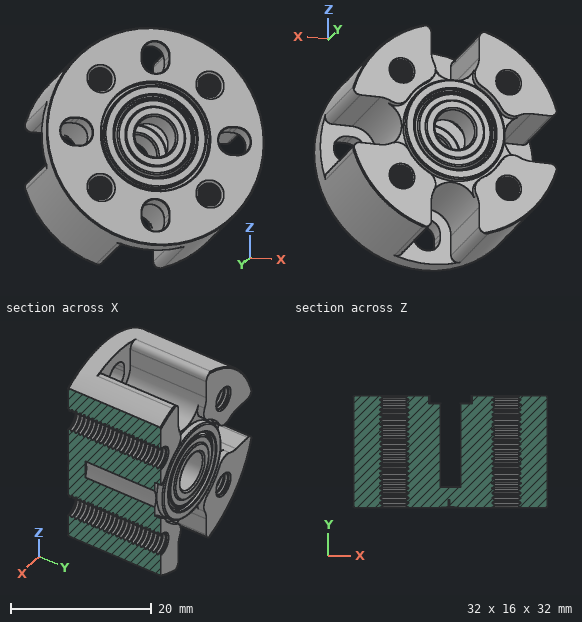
import cadquery as cq
import math


LENGTH = 16.0
HOUSING_RADIUS = 16.0
EDGE_CHAMFER = 0.15
FRONT_HOLE_CHAMFER = 0.1
CHAMFER_ANGLE = 45
WEB_THICKNESS = 3.0
QUARTER_TURN = 90

CHANNEL_HALF_WIDTH = 3.6
CHANNEL_CENTER_RADIUS = 11.3
CHANNEL_LIP_FILLET = 1.0

OBLONG_CENTER_RADIUS = 11.6
OBLONG_WIDTH = 4.0
OBLONG_TRAVEL = 0.7

THREAD_OFFSET = 8.0
THREAD_MAJOR_RADIUS = 2.05
THREAD_MINOR_RADIUS = 1.65
THREAD_PITCH = 0.7
THREAD_CREST_WIDTH = THREAD_PITCH / 4

BEARING_WIDTH = 5.0
BEARING_RADIUS = 6.5
BEARING_FLANGE_RADIUS = 7.5
BEARING_FLANGE_THICKNESS = 1.1
BEARING_FLANGE_CHAMFER = 0.2
SHIELD_SEAT_RADIUS = 6.13
SHIELD_SEAT_CHAMFER = 0.12
SHIELD_FACE_RADIUS = 5.3
SHIELD_SHOULDER_RADIUS = 5.55
SHIELD_BEVEL_RADIUS = 5.85
SHIELD_FACE_DEPTH = 0.2
SHIELD_SHOULDER_DEPTH = 0.3
SHIELD_RIM_DEPTH = 0.6
INNER_RING_RADIUS = 4.45
INNER_RING_CHAMFER = 0.2
SHAFT_RADIUS = 3.0
SHAFT_CHAMFER = 0.25

RECESS_RADIUS = 8.0
RECESS_EDGE_FILLET = 2.0


def cylinder(radius, start, end):
    """Solid cylinder on the Y axis between two Y positions."""
    return cq.Workplane("XZ", origin=(0, start, 0)).circle(radius).extrude(start - end)


def turned(outline):
    """Revolve an outline of (radius, depth) points about the Y axis."""
    return cq.Workplane("XY").polyline(outline).close().revolve(360, (0, 0), (0, 1))


def channel():
    """Channel on the +Z side: round floor, flat walls and rounded outer lips."""
    half = CHANNEL_HALF_WIDTH
    lip_x = half + CHANNEL_LIP_FILLET
    lip_center_radius = HOUSING_RADIUS - CHANNEL_LIP_FILLET
    lip_z = math.sqrt(lip_center_radius**2 - lip_x**2)
    to_surface = HOUSING_RADIUS / lip_center_radius
    outer_x = lip_x * to_surface
    outer_z = lip_z * to_surface
    return (
        cq.Workplane("XZ", origin=(0, WEB_THICKNESS, 0))
        .moveTo(-half, CHANNEL_CENTER_RADIUS)
        .threePointArc((0, CHANNEL_CENTER_RADIUS - half), (half, CHANNEL_CENTER_RADIUS))
        .lineTo(half, lip_z)
        .radiusArc((outer_x, outer_z), CHANNEL_LIP_FILLET)
        .lineTo(outer_x, HOUSING_RADIUS)
        .lineTo(-outer_x, HOUSING_RADIUS)
        .lineTo(-outer_x, outer_z)
        .radiusArc((-half, lip_z), CHANNEL_LIP_FILLET)
        .close()
        .extrude(WEB_THICKNESS - LENGTH)
    )


def recess_opening():
    """Gap where the rear recess breaks into the +Z channel, with both corners rounded.

    Each corner arc touches the channel floor and the recess wall.
    """
    from_channel = CHANNEL_HALF_WIDTH + RECESS_EDGE_FILLET
    from_axis = RECESS_RADIUS + RECESS_EDGE_FILLET
    center_z = (from_axis**2 - from_channel**2 + CHANNEL_CENTER_RADIUS**2) / (2 * CHANNEL_CENTER_RADIUS)
    center_x = math.sqrt(from_axis**2 - center_z**2)
    channel_share = CHANNEL_HALF_WIDTH / from_channel
    top_x = center_x * channel_share
    top_z = CHANNEL_CENTER_RADIUS + (center_z - CHANNEL_CENTER_RADIUS) * channel_share
    axis_share = RECESS_RADIUS / from_axis
    bottom_x = center_x * axis_share
    bottom_z = center_z * axis_share
    start = LENGTH - BEARING_FLANGE_THICKNESS
    return (
        cq.Workplane("XZ", origin=(0, start, 0))
        .moveTo(-top_x, top_z)
        .lineTo(top_x, top_z)
        .radiusArc((bottom_x, bottom_z), -RECESS_EDGE_FILLET)
        .lineTo(-bottom_x, bottom_z)
        .radiusArc((-top_x, top_z), -RECESS_EDGE_FILLET)
        .close()
        .extrude(-BEARING_FLANGE_THICKNESS)
    )


def front_recess():
    """Recess around the front bearing flange, with a chamfered mouth."""
    return turned([
        (0, 0),
        (RECESS_RADIUS + FRONT_HOLE_CHAMFER, 0),
        (RECESS_RADIUS, FRONT_HOLE_CHAMFER),
        (RECESS_RADIUS, BEARING_FLANGE_THICKNESS),
        (0, BEARING_FLANGE_THICKNESS),
    ])


def oblong_hole():
    """Radial oblong hole through the web on the +Z side."""
    def prism(width, depth, taper):
        """Oblong prism from the front face that narrows with depth by the taper angle."""
        return (
            cq.Workplane("XZ")
            .center(0, OBLONG_CENTER_RADIUS)
            .slot2D(width + OBLONG_TRAVEL, width, 90)
            .extrude(-depth, taper=taper)
        )

    mouth_width = OBLONG_WIDTH + 2 * FRONT_HOLE_CHAMFER
    return prism(OBLONG_WIDTH, WEB_THICKNESS, 0).union(prism(mouth_width, FRONT_HOLE_CHAMFER, CHAMFER_ANGLE))


def threaded_hole():
    """Cutter for one threaded hole: a core with a ring groove at every pitch."""
    pitches = math.ceil(LENGTH / THREAD_PITCH)
    outline = [(0, 0)]
    for turn in range(pitches):
        root_y = turn * THREAD_PITCH
        crest_y = root_y + THREAD_PITCH / 2
        outline.append((THREAD_MAJOR_RADIUS, root_y))
        outline.append((THREAD_MINOR_RADIUS, crest_y - THREAD_CREST_WIDTH / 2))
        outline.append((THREAD_MINOR_RADIUS, crest_y + THREAD_CREST_WIDTH / 2))
    outline.append((THREAD_MAJOR_RADIUS, pitches * THREAD_PITCH))
    outline.append((0, pitches * THREAD_PITCH))
    return turned(outline).translate((THREAD_OFFSET, 0, THREAD_OFFSET))


def make_housing():
    body = cylinder(HOUSING_RADIUS, 0, LENGTH).edges().chamfer(EDGE_CHAMFER)
    body = body.cut(cylinder(BEARING_RADIUS, 0, LENGTH))
    body = body.cut(front_recess())
    body = body.cut(cylinder(RECESS_RADIUS, LENGTH - BEARING_FLANGE_THICKNESS, LENGTH))
    cutters = [channel(), recess_opening(), oblong_hole(), threaded_hole()]
    for quarter in range(4):
        for cutter in cutters:
            body = body.cut(cutter.rotate((0, 0, 0), (0, 1, 0), quarter * QUARTER_TURN))
    return body


def make_outer_ring():
    """Flanged outer ring of the front bearing."""
    return turned([
        (SHIELD_SEAT_RADIUS + SHIELD_SEAT_CHAMFER, 0),
        (BEARING_FLANGE_RADIUS - BEARING_FLANGE_CHAMFER, 0),
        (BEARING_FLANGE_RADIUS, BEARING_FLANGE_CHAMFER),
        (BEARING_FLANGE_RADIUS, BEARING_FLANGE_THICKNESS),
        (BEARING_RADIUS, BEARING_FLANGE_THICKNESS),
        (BEARING_RADIUS, BEARING_WIDTH),
        (SHIELD_SEAT_RADIUS, BEARING_WIDTH),
        (SHIELD_SEAT_RADIUS, SHIELD_SEAT_CHAMFER),
    ])


def make_shield():
    """Shield that fills the space between the rings, with a two-slope bevel down to its rim."""
    return turned([
        (INNER_RING_RADIUS, SHIELD_FACE_DEPTH),
        (SHIELD_FACE_RADIUS, SHIELD_FACE_DEPTH),
        (SHIELD_SHOULDER_RADIUS, SHIELD_SHOULDER_DEPTH),
        (SHIELD_BEVEL_RADIUS, SHIELD_RIM_DEPTH),
        (SHIELD_SEAT_RADIUS, SHIELD_RIM_DEPTH),
        (SHIELD_SEAT_RADIUS, BEARING_WIDTH - SHIELD_FACE_DEPTH),
        (INNER_RING_RADIUS, BEARING_WIDTH - SHIELD_FACE_DEPTH),
    ])


def make_inner_ring():
    """Inner ring with chamfered bore and rim."""
    return turned([
        (SHAFT_RADIUS + SHAFT_CHAMFER, 0),
        (INNER_RING_RADIUS - INNER_RING_CHAMFER, 0),
        (INNER_RING_RADIUS, INNER_RING_CHAMFER),
        (INNER_RING_RADIUS, BEARING_WIDTH - INNER_RING_CHAMFER),
        (INNER_RING_RADIUS - INNER_RING_CHAMFER, BEARING_WIDTH),
        (SHAFT_RADIUS + SHAFT_CHAMFER, BEARING_WIDTH),
        (SHAFT_RADIUS, BEARING_WIDTH - SHAFT_CHAMFER),
        (SHAFT_RADIUS, SHAFT_CHAMFER),
    ])


housing = make_housing()

bearing_parts = []
for front_part in (make_outer_ring(), make_shield(), make_inner_ring()):
    rear_part = front_part.mirror("XZ", (0, LENGTH / 2, 0))
    bearing_parts.append(front_part.val())
    bearing_parts.append(rear_part.val())

result = cq.Compound.makeCompound([housing.val(), *bearing_parts])